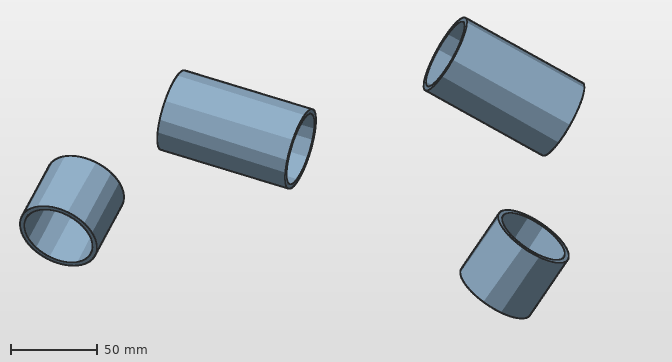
import cadquery as cq

outer_diameter = 48.3
wall_thickness = 2.8
inner_diameter = outer_diameter - 2 * wall_thickness

long_pipe_length = 80.0
short_pipe_length = 42.0
gap_x = 0.8
overall_y = 139.2

long_pipe_start_x = outer_diameter / 2 + gap_x
long_pipe_axis_y = overall_y - outer_diameter / 2


def make_pipe(start, direction, length):
    """Straight open pipe running from the start point along the direction."""
    plane = cq.Plane(origin=start, normal=direction)
    return cq.Workplane(plane).circle(outer_diameter / 2).circle(inner_diameter / 2).extrude(length)


short_pipe = make_pipe((0, 0, 0), (0, 1, 0), short_pipe_length)
long_pipe = make_pipe((long_pipe_start_x, long_pipe_axis_y, 0), (1, 0, 0), long_pipe_length)

result = cq.Compound.makeCompound([short_pipe.val(), long_pipe.val()])